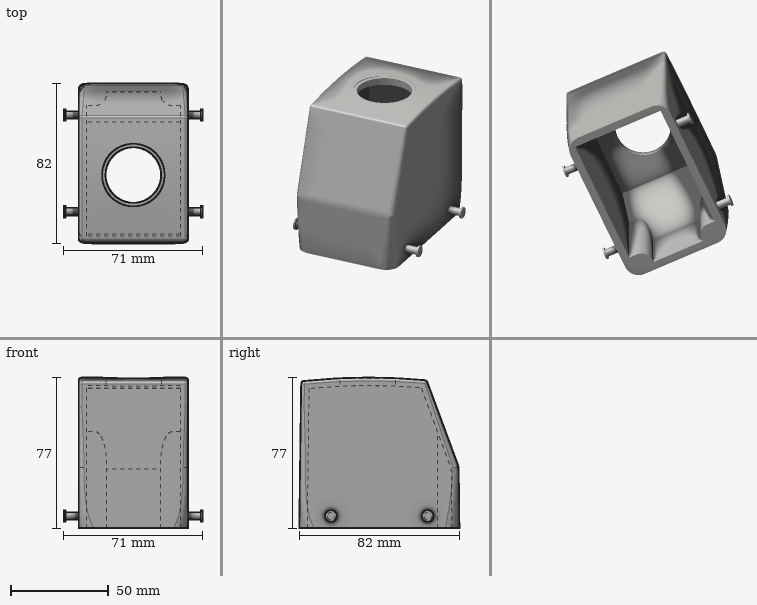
import cadquery as cq
import math

WIDTH = 56.0
DEPTH = 82.0
HEIGHT = 77.0
FRONT_LEAN = 1.0
FRONT_TOP_Z = 75.1
KNEE_Z = 31.2
BACK_LEAN = 0.4
BACK_TOP_Y = 24.2
BACK_TOP_Z = 75.6
KNEE_RADIUS = 11.0

OPENING_Y = -6.0
OPENING_DIAMETER = 28.3
SPOTFACE_DIAMETER = 32.0
SPOTFACE_Z = 76.5

WALL = 4.0
COLUMN_FACE_Y = 29.6
COLUMN_RADIUS = 6.0
COLUMN_X = 19.8

EDGE_RADIUS = 1.6
KNEE_CORNER_RADIUS = 3.0
FOOT_CORNER_RADIUS = 7.5
FRONT_CORNERS = ((14.0, 3.5), (30.0, 2.65), (52.0, 2.1))
BACK_CORNERS = ((14.0, 4.8),)
CUTTER_MARGIN = 3.0

PIN_SPAN = 71.0
PIN_Y = 24.7
PIN_Z = 6.2
PIN_DIAMETER = 4.0
HEAD_DIAMETER = 6.0
HEAD_THICKNESS = 1.0

HALF_WIDTH = WIDTH / 2
FRONT_Y = -DEPTH / 2
FRONT_TOP_Y = FRONT_Y + FRONT_LEAN
BACK_Y = DEPTH / 2
KNEE_Y = BACK_Y - BACK_LEAN


def front_y(z):
    """Y of the leaning front face at height z."""
    return FRONT_Y + FRONT_LEAN * z / FRONT_TOP_Z


def back_y(z):
    """Y of the back face, or of the sloped face above the knee, at height z."""
    if z <= KNEE_Z:
        return BACK_Y - BACK_LEAN * z / KNEE_Z
    return KNEE_Y + (BACK_TOP_Y - KNEE_Y) * (z - KNEE_Z) / (BACK_TOP_Z - KNEE_Z)


def side_profile():
    """Closed outline of the hood in the YZ plane."""
    return (
        cq.Workplane("YZ")
        .moveTo(FRONT_Y, 0)
        .lineTo(BACK_Y, 0)
        .lineTo(KNEE_Y, KNEE_Z)
        .lineTo(BACK_TOP_Y, BACK_TOP_Z)
        .threePointArc((OPENING_Y, HEIGHT), (FRONT_TOP_Y, FRONT_TOP_Z))
        .close()
    )


def edge_near(body, y, z):
    """Edge of the body whose middle lies nearest (y, z) in the plane X = 0."""
    return body.edges(cq.selectors.NearestToPointSelector((0, y, z)))


def make_block():
    """Solid hood with the knee and all edges above the open bottom rounded."""
    body = side_profile().extrude(HALF_WIDTH, both=True)
    body = edge_near(body, KNEE_Y, KNEE_Z).fillet(KNEE_RADIUS)
    body = body.edges("not <Z").fillet(EDGE_RADIUS)
    return body


def corner_section(z, y, toward_y, radius):
    """Wire at height z outside the rounding of the corner at (HALF_WIDTH, y)."""
    start = (HALF_WIDTH, y - toward_y * radius)
    end = (HALF_WIDTH - radius, y)
    inset = radius * (1 - math.sqrt(0.5))
    middle = (HALF_WIDTH - inset, y - toward_y * inset)
    outer_x = HALF_WIDTH + CUTTER_MARGIN
    outer_y = y + toward_y * CUTTER_MARGIN
    section = (
        cq.Workplane("XY", origin=(0, 0, z))
        .moveTo(*start)
        .threePointArc(middle, end)
        .lineTo(end[0], outer_y)
        .lineTo(outer_x, outer_y)
        .lineTo(outer_x, start[1])
        .close()
    )
    return section.val()


def corner_cutter(stations, face_y, toward_y):
    """Loft of corner sections through (height, radius) stations."""
    wires = [corner_section(z, face_y(z), toward_y, radius) for z, radius in stations]
    return cq.Workplane(cq.Solid.makeLoft(wires))


def round_corners(body):
    """Widen the rounding of the upright corners towards the foot."""
    foot = (0, FOOT_CORNER_RADIUS)
    knee = (KNEE_Z, KNEE_CORNER_RADIUS)
    front = (foot, *FRONT_CORNERS, (FRONT_TOP_Z, EDGE_RADIUS))
    back = (foot, *BACK_CORNERS, knee)
    slope = (knee, (BACK_TOP_Z, EDGE_RADIUS))
    cutters = (
        corner_cutter(front, front_y, -1),
        corner_cutter(back, back_y, 1),
        corner_cutter(slope, back_y, 1),
    )
    for cutter in cutters:
        body = body.cut(cutter).cut(cutter.mirror("YZ"))
    return body


def make_column():
    """Column filling the +X back corner of the cavity, oversized into the walls."""
    axis_y = COLUMN_FACE_Y + COLUMN_RADIUS
    diagonal = COLUMN_RADIUS * math.sqrt(0.5)
    return (
        cq.Workplane("XY")
        .moveTo(HALF_WIDTH, COLUMN_FACE_Y)
        .lineTo(COLUMN_X, COLUMN_FACE_Y)
        .threePointArc((COLUMN_X - diagonal, axis_y - diagonal), (COLUMN_X - COLUMN_RADIUS, axis_y))
        .lineTo(COLUMN_X - COLUMN_RADIUS, BACK_Y)
        .lineTo(HALF_WIDTH, BACK_Y)
        .close()
        .extrude(HEIGHT)
    )


def hollow_out(body):
    """Cut the cavity, open at the bottom, leaving the two corner columns."""
    cavity = side_profile().offset2D(-WALL).extrude(HALF_WIDTH - WALL, both=True)
    mouth = cavity.faces("<Z").wires().toPending().workplane().extrude(WALL)
    cavity = cavity.union(mouth)
    column = make_column()
    return body.cut(cavity.cut(column).cut(column.mirror("YZ")))


def cut_opening(body):
    """Bore through the roof and face a flat ring around the bore."""
    hole = (
        cq.Workplane("XY", origin=(0, OPENING_Y, HEIGHT / 2))
        .circle(OPENING_DIAMETER / 2)
        .extrude(HEIGHT)
    )
    spotface = (
        cq.Workplane("XY", origin=(0, OPENING_Y, SPOTFACE_Z))
        .circle(SPOTFACE_DIAMETER / 2)
        .extrude(HEIGHT)
    )
    return body.cut(hole).cut(spotface)


def make_pin(y):
    """Headed pin standing out of the +X wall."""
    base_x = HALF_WIDTH - WALL / 2
    head_x = PIN_SPAN / 2 - HEAD_THICKNESS
    shank = (
        cq.Workplane("YZ", origin=(base_x, y, PIN_Z))
        .circle(PIN_DIAMETER / 2)
        .extrude(head_x - base_x)
    )
    head = (
        cq.Workplane("YZ", origin=(head_x, y, PIN_Z))
        .circle(HEAD_DIAMETER / 2)
        .extrude(HEAD_THICKNESS)
    )
    return shank.union(head)


def add_pins(body):
    for y in (-PIN_Y, PIN_Y):
        pin = make_pin(y)
        body = body.union(pin).union(pin.mirror("YZ"))
    return body


result = add_pins(cut_opening(hollow_out(round_corners(make_block()))))